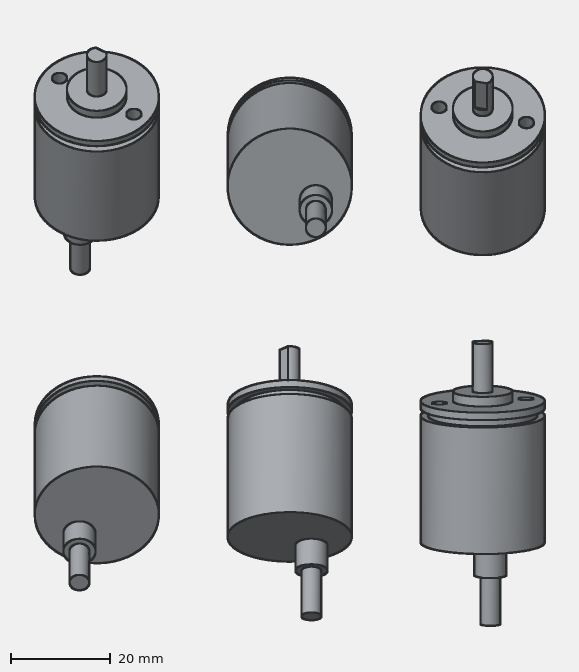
import cadquery as cq

total_length = 56.5

body_diameter = 25.0
flange_thickness = 1.5
groove_diameter = 22.0
groove_width = 1.5

boss_diameter = 12.0
boss_height = 2.0

shaft_diameter = 4.0
shaft_length = 10.0
flat_offset = 1.6
full_round_length = 1.85

hole_diameter = 3.0
hole_depth = 5.0
hole_radius = 9.0

gland_diameter = 6.5
gland_length = 5.6
cable_diameter = 4.0
cable_length = 10.0
cable_offset = -6.0

body_length = total_length - shaft_length - boss_height - gland_length - cable_length
boss_top = body_length + boss_height
shaft_top = boss_top + shaft_length
groove_top = body_length - flange_thickness
groove_bottom = groove_top - groove_width


def cylinder(diameter, bottom, height, x=0, y=0):
    """Upright cylinder standing on the given height."""
    return cq.Workplane("XY", origin=(x, y, bottom)).circle(diameter / 2).extrude(height)


def make_housing():
    """Stepped round housing with the groove and the two mounting holes."""
    rear = cylinder(body_diameter, 0, groove_bottom)
    groove_core = cylinder(groove_diameter, groove_bottom, groove_width)
    flange = cylinder(body_diameter, groove_top, flange_thickness)
    boss = cylinder(boss_diameter, body_length, boss_height)
    housing = rear.union(groove_core).union(flange).union(boss)
    for side in (-1, 1):
        hole = cylinder(hole_diameter, body_length - hole_depth, hole_depth, x=side * hole_radius)
        housing = housing.cut(hole)
    return housing


def make_shaft():
    """Round shaft with a flat running from above the boss to the tip."""
    shaft = cylinder(shaft_diameter, boss_top, shaft_length)
    flat_bottom = boss_top + full_round_length
    flat_cutter = cq.Workplane("XY", origin=(0, flat_offset, flat_bottom)).box(
        shaft_diameter, shaft_diameter, shaft_top - flat_bottom, centered=(True, False, False)
    )
    return shaft.cut(flat_cutter)


def make_cable():
    """Gland on the rear face with the cable hanging from it."""
    gland = cylinder(gland_diameter, -gland_length, gland_length, y=cable_offset)
    cable = cylinder(cable_diameter, -gland_length - cable_length, cable_length, y=cable_offset)
    return gland.union(cable)


result = make_housing().union(make_shaft()).union(make_cable())